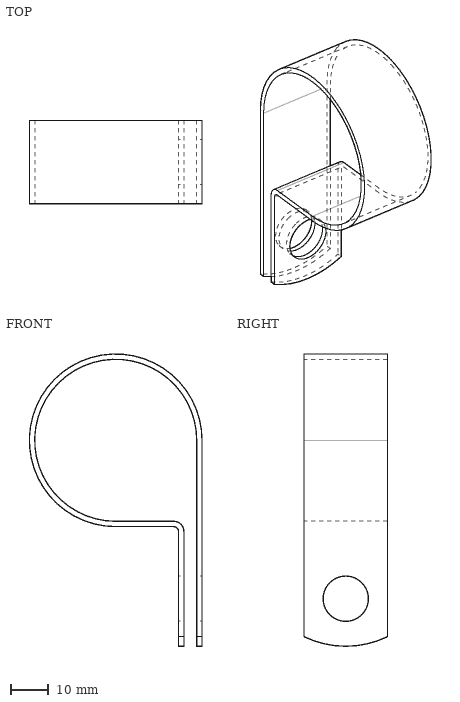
import cadquery as cq
import math

height = 77.7
strap_width = 22.2
thickness = 1.5
loop_diameter = 45.9
leg_gap = 3.35
bend_inner_radius = 1.25
hole_diameter = 12.0
hole_height = 12.7
end_arc_rise = 2.6

outer_radius = loop_diameter / 2
inner_radius = outer_radius - thickness
loop_z = height - outer_radius
shelf_bottom = loop_z - outer_radius
shelf_top = shelf_bottom + thickness
short_leg_outer = inner_radius - leg_gap
short_leg_inner = short_leg_outer - thickness
bend_outer_radius = bend_inner_radius + thickness
bend_x = short_leg_outer - bend_outer_radius
bend_z = shelf_top - bend_outer_radius
half_width = strap_width / 2
diagonal = math.sqrt(0.5)


def make_strap():
    """Bent strip: long leg, three-quarter loop, flat shelf and short leg."""
    profile = (
        cq.Workplane("XZ")
        .moveTo(outer_radius, 0)
        .lineTo(outer_radius, loop_z)
        .threePointArc((-outer_radius * diagonal, loop_z + outer_radius * diagonal), (0, shelf_bottom))
        .lineTo(bend_x, shelf_bottom)
        .threePointArc(
            (bend_x + bend_inner_radius * diagonal, bend_z + bend_inner_radius * diagonal),
            (short_leg_inner, bend_z),
        )
        .lineTo(short_leg_inner, 0)
        .lineTo(short_leg_outer, 0)
        .lineTo(short_leg_outer, bend_z)
        .threePointArc(
            (bend_x + bend_outer_radius * diagonal, bend_z + bend_outer_radius * diagonal),
            (bend_x, shelf_top),
        )
        .lineTo(0, shelf_top)
        .threePointArc((-inner_radius * diagonal, loop_z + inner_radius * diagonal), (inner_radius, loop_z))
        .lineTo(inner_radius, 0)
        .close()
    )
    return profile.extrude(half_width, both=True)


def make_side_outline():
    """Strap outline across Y and Z with the rounded lower end of the legs."""
    return (
        cq.Workplane("YZ")
        .moveTo(-half_width, end_arc_rise)
        .threePointArc((0, 0), (half_width, end_arc_rise))
        .lineTo(half_width, height)
        .lineTo(-half_width, height)
        .close()
        .extrude(outer_radius, both=True)
    )


def make_bolt_hole():
    """Cylinder that passes through both legs."""
    return (
        cq.Workplane("YZ")
        .center(0, hole_height)
        .circle(hole_diameter / 2)
        .extrude(outer_radius)
    )


result = make_strap().intersect(make_side_outline()).cut(make_bolt_hole())